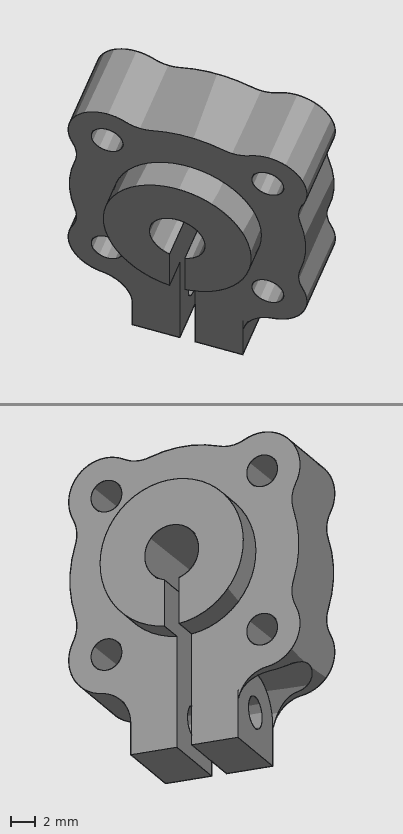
import cadquery as cq
import math

plate_thickness = 7.0
hub_height = 2.52
hub_radius = 6.35
bore_radius = 2.4
rim_radius = 10.17
lobe_offset = 6.91
lobe_radius = 3.37
screw_hole_radius = 1.37
blend_radius = 3.0
leg_half_width = 4.75
leg_bottom = -16.0
slot_width = 1.31
clamp_hole_radius = 1.37
clamp_hole_z = -12.6

lobe_distance = math.hypot(lobe_offset, lobe_offset)
hub_face = -plate_thickness / 2 - hub_height
overall_depth = plate_thickness + hub_height


def toward(center, target, distance):
    """Point at the given distance from center in the direction of target."""
    dx = target[0] - center[0]
    dz = target[1] - center[1]
    reach = distance / math.hypot(dx, dz)
    return (center[0] + dx * reach, center[1] + dz * reach)


def arc_middle(center, start, end):
    """Middle of the short blend arc from start to end."""
    chord_middle = ((start[0] + end[0]) / 2, (start[1] + end[1]) / 2)
    return toward(center, chord_middle, blend_radius)


def blend_between_rim_and_lobe():
    """Ends and middle of the blend on the upper side of the +X +Z lobe."""
    to_center = rim_radius + blend_radius
    lobe_to_center = lobe_radius + blend_radius
    cosine = (to_center**2 + lobe_distance**2 - lobe_to_center**2) / (2 * to_center * lobe_distance)
    angle = math.pi / 4 + math.acos(cosine)
    center = (to_center * math.cos(angle), to_center * math.sin(angle))
    rim_end = toward(center, (0, 0), blend_radius)
    lobe_end = toward(center, (lobe_offset, lobe_offset), blend_radius)
    middle = arc_middle(center, rim_end, lobe_end)
    return rim_end, middle, lobe_end


def blend_between_lobe_and_leg():
    """Ends and middle of the blend from the +X -Z lobe into the leg."""
    lobe_center = (lobe_offset, -lobe_offset)
    center_x = leg_half_width + blend_radius
    drop = math.sqrt((lobe_radius + blend_radius) ** 2 - (center_x - lobe_offset) ** 2)
    center = (center_x, -lobe_offset - drop)
    lobe_end = toward(center, lobe_center, blend_radius)
    leg_end = (leg_half_width, center[1])
    middle = arc_middle(center, lobe_end, leg_end)
    return lobe_end, middle, leg_end


def swapped(point):
    """Mirror a point about the +X +Z diagonal."""
    return (point[1], point[0])


def flipped_z(point):
    """Mirror a point about the plane Z = 0."""
    return (point[0], -point[1])


def half_plate():
    """The +X half of the plate, bounded by the centre plane X = 0."""
    rim_end, blend_middle, lobe_end = blend_between_rim_and_lobe()
    leg_blend_start, leg_blend_middle, leg_blend_end = blend_between_lobe_and_leg()
    lobe_tip = toward((0, 0), (lobe_offset, lobe_offset), lobe_distance + lobe_radius)
    side_rim_end = swapped(rim_end)
    side_blend_middle = swapped(blend_middle)
    side_lobe_end = swapped(lobe_end)
    return (
        cq.Workplane("XZ")
        .moveTo(0, leg_bottom)
        .lineTo(0, rim_radius)
        .threePointArc(toward((0, 0), (rim_end[0] / 2, rim_radius), rim_radius), rim_end)
        .threePointArc(blend_middle, lobe_end)
        .threePointArc(lobe_tip, side_lobe_end)
        .threePointArc(side_blend_middle, side_rim_end)
        .threePointArc((rim_radius, 0), flipped_z(side_rim_end))
        .threePointArc(flipped_z(side_blend_middle), flipped_z(side_lobe_end))
        .threePointArc(flipped_z(lobe_tip), leg_blend_start)
        .threePointArc(leg_blend_middle, leg_blend_end)
        .lineTo(leg_half_width, leg_bottom)
        .close()
        .extrude(plate_thickness / 2, both=True)
    )


def rod(radius, x=0, z=0):
    """Cylinder along Y from the hub face to the back of the plate."""
    return (
        cq.Workplane("XZ", origin=(x, hub_face, z))
        .circle(radius)
        .extrude(-overall_depth)
    )


right_half = half_plate()
body = right_half.union(right_half.mirror("YZ")).union(rod(hub_radius))

body = body.cut(rod(bore_radius))
for x in (-lobe_offset, lobe_offset):
    for z in (-lobe_offset, lobe_offset):
        body = body.cut(rod(screw_hole_radius, x, z))

slot = (
    cq.Workplane("XY", origin=(0, hub_face, leg_bottom))
    .rect(slot_width, 2 * overall_depth)
    .extrude(-leg_bottom)
)
body = body.cut(slot)

clamp_hole = (
    cq.Workplane("YZ", origin=(0, 0, clamp_hole_z))
    .circle(clamp_hole_radius)
    .extrude(lobe_offset + lobe_radius, both=True)
)
body = body.cut(clamp_hole)

seat_radius = plate_thickness / 2
seat_depth = lobe_offset + lobe_radius - leg_half_width
seat = (
    cq.Workplane("YZ", origin=(leg_half_width, 0, 0))
    .moveTo(-seat_radius, leg_bottom)
    .lineTo(-seat_radius, clamp_hole_z)
    .threePointArc((0, clamp_hole_z + seat_radius), (seat_radius, clamp_hole_z))
    .lineTo(seat_radius, leg_bottom)
    .close()
    .extrude(seat_depth)
)
result = body.cut(seat)